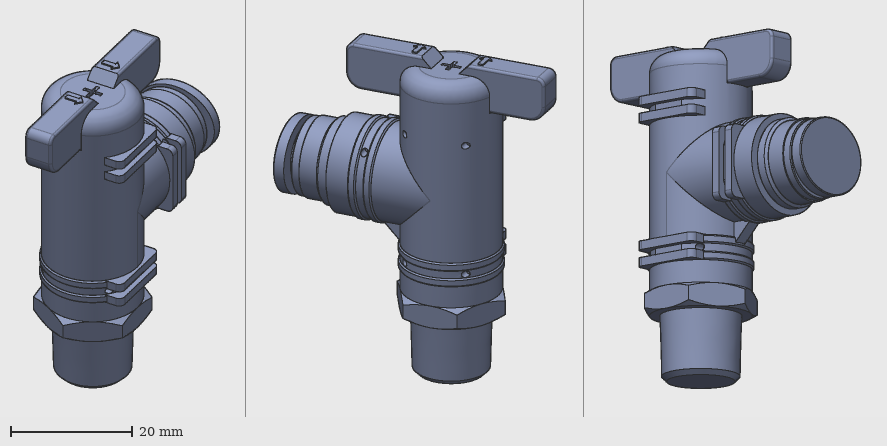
import cadquery as cq
import math

body_radius = 8.5
overall_height = 56.95
branch_height = 33.95
ring_radius = 8.75

stem_tip_radius = 6.5
stem_root_radius = 6.8
stem_chamfer = 0.85
nut_bottom = 11.05
nut_top = 15.0
nut_chamfer_angle = 30
nut_turn = 30

cap_top = 54.9
cap_fillet = 3.15
cap_flat = 8.1
handle_half_length = 18.0
handle_width = 5.0
handle_bottom = 48.8
handle_top = 56.7
handle_mouth = 2.5
handle_upper_radius = 1.35
handle_lower_radius = 2.85
handle_edge_fillet = 0.45
arrow_offset = 6.0

cross_half_length = 1.7
cross_slot_width = 0.6

lug_width = 1.5
lug_pitch = 2.8
lug_half_span = 6.15
lug_face = 9.05
lug_corner_radius = 1.1
split_face = lug_face - lug_corner_radius
ring_chamfer = 0.255
pin_radius = 0.55
pin_offset = 5.5
pin_hole_floor = 4.9
lower_clamp_height = 20.9
upper_clamp_height = 45.2
upper_pin_height = 44.1
branch_clamp_distance = 12.8

branch_body_end = 18.85
collar_end = 21.25
collar_radius = 7.5
collar_chamfer = 0.45
sleeve_end = 24.45
sleeve_radius = 7.0
tip_end = 25.95
tip_radius = 6.8
neck_end = 26.95
neck_radius = 4.85
button_end = 28.9
button_half_width = 7.5
button_half_height = 6.55
tip_edge_chamfer = 0.15

gusset_thickness = 2.3
gusset_reach = 11.75
gusset_start = 25.1


def cylinder(radius, start, end):
    return cq.Workplane("XY").workplane(offset=start).circle(radius).extrude(end - start)


def box_between(x0, x1, y0, y1, z0, z1):
    return cq.Workplane("XY").box(x1 - x0, y1 - y0, z1 - z0, centered=False).translate((x0, y0, z0))


def to_branch(shape):
    """Move a shape built along +Z onto the branch axis, which runs along +Y."""
    return shape.rotate((0, 0, 0), (1, 0, 0), -90).translate((0, 0, branch_height))


def lug_positions(center):
    return [center - lug_pitch / 2, center + lug_pitch / 2]


def clamp_lugs(center):
    lugs = cq.Workplane("XY")
    for position in lug_positions(center):
        lug = box_between(
            0, lug_face, -lug_half_span, lug_half_span,
            position - lug_width / 2, position + lug_width / 2,
        )
        lugs = lugs.add(lug.edges("|Z and >X").fillet(lug_corner_radius))
    return lugs.combine()


def clamp_rings(center):
    rings = cq.Workplane("XY")
    for position in lug_positions(center):
        ring = cylinder(ring_radius, position - lug_width / 2, position + lug_width / 2)
        rings = rings.add(ring.edges().chamfer(ring_chamfer))
    return rings.combine()


def clamp_seat(center):
    """Material removed beyond the split face between the two lugs of a clamp."""
    half_gap = (lug_pitch - lug_width) / 2
    return box_between(
        split_face, lug_face, -lug_half_span, lug_half_span, center - half_gap, center + half_gap,
    )


def pin_hole(mouth_side, y, z):
    """Blind hole along X, open on the -X (mouth_side -1) or +X (mouth_side 1) face of the body."""
    start = cq.Workplane("YZ").workplane(offset=mouth_side * pin_hole_floor).center(y, z)
    return start.circle(pin_radius).extrude(mouth_side * (split_face - pin_hole_floor))


def make_stem():
    profile = [
        (0, 0),
        (stem_tip_radius - stem_chamfer, 0),
        (stem_tip_radius, stem_chamfer),
        (stem_root_radius, nut_bottom),
        (0, nut_bottom),
    ]
    return cq.Workplane("XZ").polyline(profile).close().revolve(360, (0, 0), (0, 1))


def make_nut():
    corner_radius = body_radius / math.cos(math.radians(nut_turn))
    hexagon = (
        cq.Workplane("XY").workplane(offset=nut_bottom)
        .polygon(6, 2 * corner_radius).extrude(nut_top - nut_bottom)
        .rotate((0, 0, 0), (0, 0, 1), nut_turn)
    )
    setback = corner_radius - body_radius
    drop = setback * math.tan(math.radians(nut_chamfer_angle))
    rounding = cylinder(corner_radius, nut_bottom, nut_top).edges().chamfer(drop, setback)
    return hexagon.intersect(rounding)


def make_column():
    column = cylinder(body_radius, nut_top, cap_top).faces(">Z").edges().fillet(cap_fillet)
    for side in (-1, 1):
        flat = cq.Workplane("XY").box(2 * body_radius, 2 * body_radius, cap_top - handle_bottom)
        middle = (cap_top + handle_bottom) / 2
        column = column.cut(flat.translate((0, side * (cap_flat + body_radius), middle)))
    return column


def make_branch():
    branch = cylinder(body_radius, 0, branch_body_end)
    collar = cylinder(collar_radius, branch_body_end, collar_end).edges().chamfer(collar_chamfer)
    branch = branch.union(collar)
    branch = branch.union(cylinder(sleeve_radius, 0, sleeve_end))
    tip = cylinder(tip_radius, 0, tip_end).faces(">Z").edges().chamfer(tip_edge_chamfer)
    branch = branch.union(tip)
    branch = branch.union(cylinder(neck_radius, 0, neck_end))
    button = (
        cq.Workplane("XY").workplane(offset=neck_end)
        .ellipse(button_half_width, button_half_height).extrude(button_end - neck_end)
    )
    button = button.faces(">Z").edges().chamfer(tip_edge_chamfer)
    return to_branch(branch.union(button))


def make_gusset():
    slope_end = gusset_start - gusset_reach
    profile = [(0, slope_end), (gusset_reach, gusset_start), (gusset_reach, branch_height), (0, branch_height)]
    return cq.Workplane("YZ").polyline(profile).close().extrude(gusset_thickness / 2, both=True)


def make_handle():
    """A rounded bar across the cap, opened above the cap by a mouth with 45 degree sides."""
    bar = box_between(
        -handle_width / 2, handle_width / 2,
        -handle_half_length, handle_half_length,
        handle_bottom, handle_top,
    )
    bar = bar.edges("|X and >Z").fillet(handle_upper_radius)
    bar = bar.edges("|X and <Z").fillet(handle_lower_radius)
    bar = bar.faces("<X or >X").edges().fillet(handle_edge_fillet)
    mouth_half_top = handle_mouth + handle_top - cap_top
    mouth_profile = [
        (-handle_mouth, cap_top), (handle_mouth, cap_top),
        (mouth_half_top, handle_top), (-mouth_half_top, handle_top),
    ]
    mouth = cq.Workplane("YZ").polyline(mouth_profile).close().extrude(handle_width, both=True)
    return bar.cut(mouth)


def make_arrow(y):
    """Raised arrow pointing along +X."""
    tail, neck, tip = -1.6, 0.6, 1.65
    half_shaft, half_head = 0.45, 1.15
    outline = [
        (tail, -half_shaft), (neck, -half_shaft), (neck, -half_head), (tip, 0),
        (neck, half_head), (neck, half_shaft), (tail, half_shaft),
    ]
    plane = cq.Workplane("XY").workplane(offset=handle_top).center(0, y)
    return plane.polyline(outline).close().extrude(overall_height - handle_top)


def make_cross_recess():
    """Two crossing slots whose floors slope down to the column axis."""
    profile = [
        (-cross_half_length, cap_top), (cross_half_length, cap_top), (0, cap_top - cross_half_length),
    ]
    slot = cq.Workplane("YZ").polyline(profile).close().extrude(cross_slot_width / 2, both=True)
    return slot.union(slot.rotate((0, 0, 0), (0, 0, 1), 90))


result = make_stem().union(make_nut()).union(make_column()).union(make_branch()).union(make_gusset())

for height in (lower_clamp_height, upper_clamp_height):
    result = result.cut(clamp_seat(height)).union(clamp_lugs(height))
result = result.union(clamp_rings(lower_clamp_height).cut(clamp_seat(lower_clamp_height)))
result = result.cut(to_branch(clamp_seat(branch_clamp_distance)))
result = result.union(to_branch(clamp_rings(branch_clamp_distance)))
result = result.union(to_branch(clamp_lugs(branch_clamp_distance)))

for side in (-1, 1):
    for mouth_side in (-1, 1):
        result = result.cut(pin_hole(mouth_side, side * pin_offset, lower_clamp_height))
    result = result.cut(pin_hole(-1, side * pin_offset, upper_pin_height))
for mouth_side in (-1, 1):
    result = result.cut(pin_hole(mouth_side, branch_clamp_distance, branch_height + pin_offset))

result = result.union(make_handle())
for side in (-1, 1):
    result = result.union(make_arrow(side * arrow_offset))
result = result.cut(make_cross_recess())